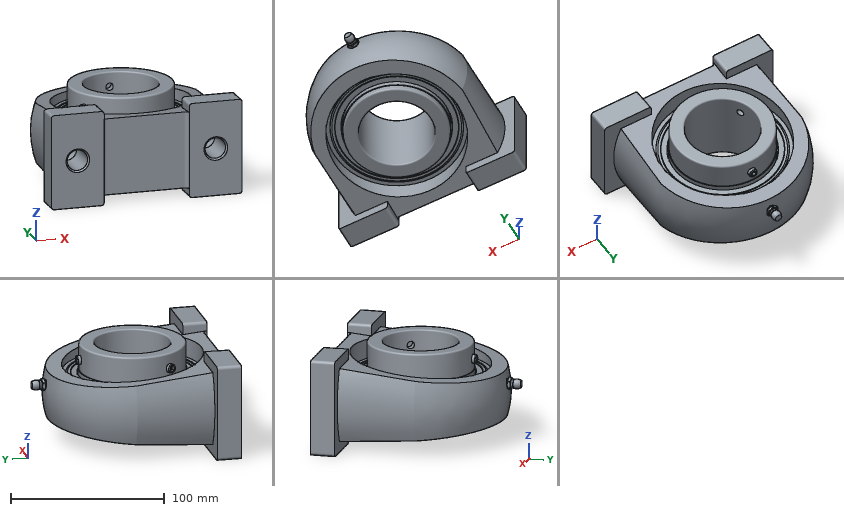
import cadquery as cq
import math


hex_sides = 6

base_height = 57.2
crown_radius = 59.0
crown_start = 10.8
side_radius = math.sqrt(crown_radius**2 - crown_start**2)
half_thickness = 21.1
draft = math.radians(5)

foot_span = 130.0
foot_width = 36.0
foot_depth = 16.3
foot_height = 64.0
foot_fillet = 2.0
recess_depth = 2.7
recess_fillet = 2.5

bolt_spacing = 94.0
bolt_diameter = 16.0
bolt_core_diameter = 13.84
bolt_hole_depth = 25.0
drill_point_angle = 118.0

outer_ring_radius = 45.0
outer_ring_half_width = 12.0
outer_ring_face_radius = 42.3
outer_ring_chamfer = 0.8
recess_diameter = 92.35
seal_outer_radius = 40.2
seal_groove_radius = 40.5
seal_inner_radius = 36.3
seal_groove_depth = 0.4
seal_gap_depth = 2.5
raceway_radius = 71.0 / 2
raceway_half_width = 14.4
inner_ring_radius = 70.0 / 2
bore_radius = 50.0 / 2
ring_top = 32.6
ring_bottom = -19.0
ring_fillet = 1.2
bore_fillet = 1.0

screw_angles = (0, 120)
screw_z = 22.6
screw_diameter = 6.0
screw_face_diameter = 5.0
screw_hole_diameter = 4.92
screw_tip = 37.7
screw_length = 7.7
screw_chamfer_length = 0.7
socket_across_flats = 3.0
socket_depth = 2.0

nipple_z = 7.7
nipple_shank_diameter = 6.0
nipple_shank_start = 50.0
nipple_tip = 67.6
nipple_tip_diameter = 4.92
nipple_tip_chamfer = 1.2
nipple_bulge_start = 62.9
nipple_groove_start = 62.6
nipple_groove_diameter = 5.6
nipple_bulge_diameter = 6.6
nipple_hex_start = 58.95
nipple_hex_end = 61.3
nipple_hex_across_flats = 7.4
nipple_hex_chamfer = 0.7


def turned(profile):
    """Revolve a profile drawn as (radius, height) about the Z axis."""
    return profile.close().revolve(360, (0, 0, 0), (0, 1, 0))


def aim_along_y(solid):
    """Turn a part built along +Z so that it points along +Y."""
    return solid.rotate((0, 0, 0), (1, 0, 0), -90)


def housing_body():
    """Spherical crown with straight round sides, trimmed by the two tapered faces."""
    arc_middle = crown_radius * math.sqrt(0.5)
    block = (
        cq.Workplane("XY")
        .moveTo(0, -base_height)
        .lineTo(side_radius, -base_height)
        .lineTo(side_radius, crown_start)
        .threePointArc((arc_middle, arc_middle), (0, crown_radius))
        .close()
        .revolve(360, (0, 0, 0), (0, 1, 0))
    )
    half_at_crown = half_thickness - crown_radius * math.tan(draft)
    half_at_base = half_thickness + base_height * math.tan(draft)
    wedge = (
        cq.Workplane("YZ")
        .polyline([
            (crown_radius, -half_at_crown),
            (crown_radius, half_at_crown),
            (-base_height, half_at_base),
            (-base_height, -half_at_base),
        ])
        .close()
        .extrude(crown_radius, both=True)
    )
    return wedge.intersect(block)


def foot(side):
    """Mounting foot on the +X (side = 1) or -X (side = -1) end."""
    centre_x = side * (foot_span - foot_width) / 2
    return (
        cq.Workplane("XY")
        .box(foot_width, foot_depth, foot_height)
        .edges("|Y")
        .fillet(foot_fillet)
        .translate((centre_x, foot_depth / 2 - base_height, 0))
    )


def foot_recess():
    """Clearance cut in the mounting face between the feet, with rounded inner corners."""
    return (
        cq.Workplane("XY")
        .box(foot_span - 2 * foot_width, recess_depth, foot_height, centered=(True, False, True))
        .edges("|Z and >Y")
        .fillet(recess_fillet)
        .translate((0, -base_height, 0))
    )


def bolt_hole(x):
    """Blind drilled hole with a chamfered mouth, entering from the mounting face."""
    core_radius = bolt_core_diameter / 2
    mouth_radius = bolt_diameter / 2
    mouth_depth = mouth_radius - core_radius
    point_length = core_radius / math.tan(math.radians(drill_point_angle / 2))
    profile = cq.Workplane("XZ").polyline([
        (0, 0),
        (mouth_radius, 0),
        (core_radius, mouth_depth),
        (core_radius, bolt_hole_depth),
        (0, bolt_hole_depth + point_length),
    ])
    return aim_along_y(turned(profile)).translate((x, -base_height, 0))


def bearing_seat():
    """Spherical seat of the outer ring, opened to a clearance bore above and below."""
    ledge = outer_ring_half_width
    ledge_radius = math.sqrt(outer_ring_radius**2 - ledge**2)
    clearance_radius = recess_diameter / 2
    profile = (
        cq.Workplane("XZ")
        .moveTo(0, -foot_height)
        .lineTo(clearance_radius, -foot_height)
        .lineTo(clearance_radius, -ledge)
        .lineTo(ledge_radius, -ledge)
        .threePointArc((outer_ring_radius, 0), (ledge_radius, ledge))
        .lineTo(clearance_radius, ledge)
        .lineTo(clearance_radius, foot_height)
        .lineTo(0, foot_height)
    )
    return turned(profile)


def build_housing():
    """Housing with its feet, bearing seat, mounting holes and nipple hole."""
    housing = housing_body()
    for side in (1, -1):
        housing = housing.union(foot(side))
    housing = housing.cut(foot_recess()).cut(bearing_seat())
    for side in (1, -1):
        housing = housing.cut(bolt_hole(side * bolt_spacing / 2))
    nipple_hole = (
        cq.Workplane("XZ", origin=(0, nipple_shank_start, nipple_z))
        .circle(nipple_shank_diameter / 2)
        .extrude(-crown_radius)
    )
    return housing.cut(nipple_hole)


def build_rings():
    """Outer ring, seals and long inner ring, turned as one piece."""
    face = outer_ring_half_width
    shoulder = face - outer_ring_chamfer
    shoulder_radius = math.sqrt(outer_ring_radius**2 - shoulder**2)
    upper_steps = [
        (inner_ring_radius, raceway_half_width),
        (raceway_radius, raceway_half_width),
        (raceway_radius, face - seal_gap_depth),
        (seal_inner_radius, face - seal_gap_depth),
        (seal_inner_radius, face),
        (seal_outer_radius, face),
        (seal_outer_radius, face - seal_groove_depth),
        (seal_groove_radius, face - seal_groove_depth),
        (seal_groove_radius, face),
        (outer_ring_face_radius, face),
        (shoulder_radius, shoulder),
    ]
    lower_steps = [(radius, -height) for radius, height in reversed(upper_steps)]
    profile = cq.Workplane("XZ").moveTo(bore_radius, ring_bottom).lineTo(bore_radius, ring_top)
    profile = profile.lineTo(inner_ring_radius, ring_top)
    for step in upper_steps:
        profile = profile.lineTo(*step)
    profile = profile.threePointArc((outer_ring_radius, 0), lower_steps[0])
    for step in lower_steps[1:]:
        profile = profile.lineTo(*step)
    rings = turned(profile.lineTo(inner_ring_radius, ring_bottom))
    for end in (">Z", "<Z"):
        rings = rings.faces(end).edges(cq.selectors.RadiusNthSelector(0)).fillet(bore_fillet)
        rings = rings.faces(end).edges(cq.selectors.RadiusNthSelector(-1)).fillet(ring_fillet)
    return rings


def set_screw():
    """Set screw pointing along +Y, with a chamfered outer end and a hexagon socket."""
    radius = screw_diameter / 2
    profile = cq.Workplane("XZ").polyline([
        (0, screw_tip - screw_length),
        (radius, screw_tip - screw_length),
        (radius, screw_tip - screw_chamfer_length),
        (screw_face_diameter / 2, screw_tip),
        (0, screw_tip),
    ])
    socket = (
        cq.Workplane("XY", origin=(0, 0, screw_tip))
        .polygon(hex_sides, socket_across_flats, circumscribed=True)
        .extrude(-socket_depth)
    )
    return aim_along_y(turned(profile).cut(socket))


def build_insert():
    """Bearing insert: the rings with their two set screws in place."""
    insert = build_rings()
    hole_length = screw_tip - screw_length
    screw_hole = aim_along_y(cq.Workplane("XY").circle(screw_hole_diameter / 2).extrude(hole_length))
    for angle in screw_angles:
        hole, screw = [
            part.translate((0, 0, screw_z)).rotate((0, 0, 0), (0, 0, 1), angle)
            for part in (screw_hole, set_screw())
        ]
        insert = insert.cut(hole).union(screw)
    return insert


def build_nipple():
    """Grease nipple: shank, chamfered hexagon and barrel-shaped head."""
    shank_radius = nipple_shank_diameter / 2
    groove_radius = nipple_groove_diameter / 2
    bulge_end = nipple_tip - nipple_tip_chamfer
    bulge_middle = (nipple_bulge_start + bulge_end) / 2
    profile = (
        cq.Workplane("XZ")
        .moveTo(0, nipple_shank_start)
        .lineTo(shank_radius, nipple_shank_start)
        .lineTo(shank_radius, nipple_groove_start)
        .lineTo(groove_radius, nipple_groove_start)
        .lineTo(groove_radius, nipple_bulge_start)
        .lineTo(shank_radius, nipple_bulge_start)
        .threePointArc((nipple_bulge_diameter / 2, bulge_middle), (shank_radius, bulge_end))
        .lineTo(nipple_tip_diameter / 2, nipple_tip)
        .lineTo(0, nipple_tip)
    )
    hex_length = nipple_hex_end - nipple_hex_start
    hexagon = (
        cq.Workplane("XY")
        .polygon(hex_sides, nipple_hex_across_flats, circumscribed=True)
        .extrude(hex_length)
    )
    corner_radius = nipple_hex_across_flats / 2 / math.cos(math.pi / hex_sides)
    corner_trim = cq.Workplane("XY").circle(corner_radius).extrude(hex_length)
    corner_trim = corner_trim.edges().chamfer(nipple_hex_chamfer)
    hexagon = hexagon.intersect(corner_trim).translate((0, 0, nipple_hex_start))
    return aim_along_y(turned(profile).union(hexagon)).translate((0, 0, nipple_z))


housing = build_housing()
insert = build_insert()
nipple = build_nipple()

result = cq.Compound.makeCompound([housing.val(), insert.val(), nipple.val()])